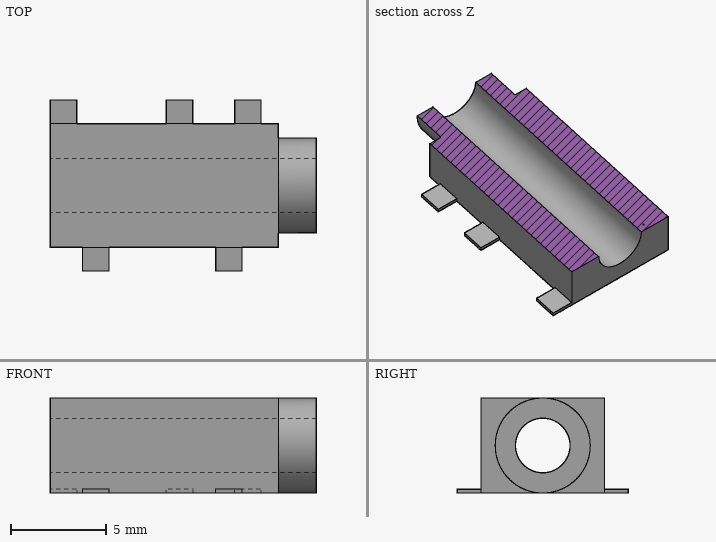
import cadquery as cq

body_length = 12.0
body_width = 6.5
body_height = 5.0

nose_diameter = 5.0
nose_length = 2.0
bore_diameter = 2.86
axis_height = body_height / 2
overall_length = body_length + nose_length

lead_width = 1.4
lead_reach = 1.25
lead_thickness = 0.2
left_lead_starts = [0.0, 6.1, 9.7]
right_lead_starts = [1.7, 8.7]


def make_body():
    return cq.Workplane("XY").box(
        body_length, body_width, body_height, centered=(False, True, False)
    )


def make_axial_cylinder(diameter, start_x, length):
    """Cylinder along +X, centred on the jack axis."""
    return (
        cq.Workplane("YZ", origin=(start_x, 0, axis_height))
        .circle(diameter / 2)
        .extrude(length)
    )


def make_lead(start_x, side):
    """Lead standing out from the body wall; side is +1 for +Y and -1 for -Y."""
    center_y = side * (body_width + lead_reach) / 2
    return (
        cq.Workplane("XY", origin=(start_x, center_y, 0))
        .box(lead_width, lead_reach, lead_thickness, centered=(False, True, False))
    )


result = make_body().union(make_axial_cylinder(nose_diameter, body_length, nose_length))
result = result.cut(make_axial_cylinder(bore_diameter, 0, overall_length))

for side, lead_starts in ((1, left_lead_starts), (-1, right_lead_starts)):
    for lead_start in lead_starts:
        result = result.union(make_lead(lead_start, side))